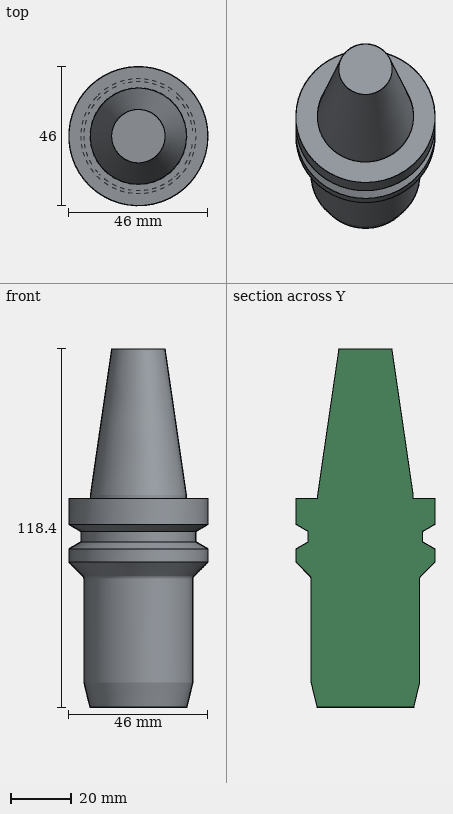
import cadquery as cq
import math

gauge_diameter = 31.75
taper_length = 48.4
taper_ratio = 7 / 24
collar_length = 1.0

flange_diameter = 46.0
upper_rim_height = 8.6
lower_rim_height = 4.4

groove_diameter = 38.0
groove_floor_width = 3.4
groove_wall_angle = 30.0

body_diameter = 36.0
flange_underside_angle = 45.0
root_fillet_radius = 1.0

nose_diameter = 32.0
nose_length = 8.2
projection = 70.0

gauge_radius = gauge_diameter / 2
tip_radius = (gauge_diameter - taper_length * taper_ratio) / 2
flange_radius = flange_diameter / 2
groove_radius = groove_diameter / 2
body_radius = body_diameter / 2
nose_radius = nose_diameter / 2

groove_wall_height = (flange_radius - groove_radius) * math.tan(math.radians(groove_wall_angle))
underside_height = (flange_radius - body_radius) * math.tan(math.radians(flange_underside_angle))

flange_top = -collar_length
groove_top = flange_top - upper_rim_height
groove_floor_top = groove_top - groove_wall_height
groove_floor_bottom = groove_floor_top - groove_floor_width
groove_bottom = groove_floor_bottom - groove_wall_height
lower_rim_bottom = groove_bottom - lower_rim_height
body_top = lower_rim_bottom - underside_height
nose_face = -projection
nose_top = nose_face + nose_length


def make_holder():
    """Revolve the half section (radius, height) about the Z axis."""
    half_section = (
        cq.Workplane("XZ")
        .moveTo(0, taper_length)
        .lineTo(tip_radius, taper_length)
        .lineTo(gauge_radius, 0)
        .lineTo(gauge_radius, flange_top)
        .lineTo(flange_radius, flange_top)
        .lineTo(flange_radius, groove_top)
        .lineTo(groove_radius, groove_floor_top)
        .lineTo(groove_radius, groove_floor_bottom)
        .lineTo(flange_radius, groove_bottom)
        .lineTo(flange_radius, lower_rim_bottom)
        .lineTo(body_radius, body_top)
        .lineTo(body_radius, nose_top)
        .lineTo(nose_radius, nose_face)
        .lineTo(0, nose_face)
        .close()
    )
    return half_section.revolve(360, (0, 0, 0), (0, 1, 0))


def round_flange_root(holder):
    """Blend the conical underside of the flange into the cylindrical body."""
    root_edge = cq.selectors.BoxSelector(
        (-flange_radius, -flange_radius, body_top - root_fillet_radius),
        (flange_radius, flange_radius, body_top + root_fillet_radius),
        boundingbox=True,
    )
    return holder.edges(root_edge).fillet(root_fillet_radius)


result = round_flange_root(make_holder())